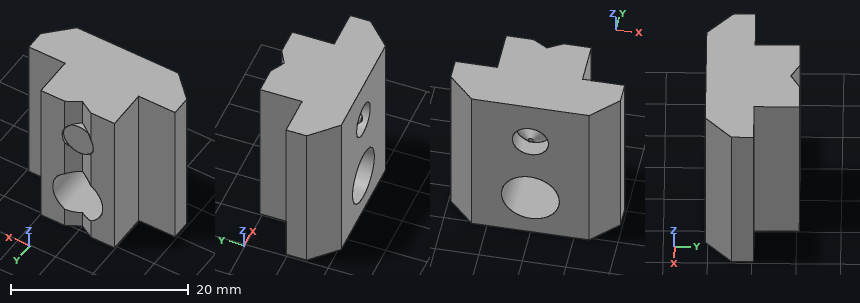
import cadquery as cq
import math

height = 20.0
flange_width = 19.5
flange_depth = 5.5
flange_chamfer = 3.0
tongue_width = 9.8
total_depth = 10.6

groove_depth = 1.0
groove_angle = 120.0

hole_diameter = 6.65
hole_z = 5.48
screw_diameter = 4.15
screw_z = 14.48

point_recess = 0.2
point_length = 1.8
point_flat_diameter = 0.55
screw_back_recess = 0.3


def body():
    """T-section with the two front edges chamfered and a V groove in the back."""
    half_flange = flange_width / 2
    half_tongue = tongue_width / 2
    half_groove = groove_depth * math.tan(math.radians(groove_angle / 2))
    right_half = [
        (half_flange - flange_chamfer, 0),
        (half_flange, flange_chamfer),
        (half_flange, flange_depth),
        (half_tongue, flange_depth),
        (half_tongue, total_depth),
        (half_groove, total_depth),
    ]
    left_half = [(-x, y) for x, y in reversed(right_half)]
    groove_bottom = (0, total_depth - groove_depth)
    outline = right_half + [groove_bottom] + left_half
    return cq.Workplane("XY").polyline(outline).close().extrude(height)


def through_hole(diameter, z):
    """Cutter along Y through the whole depth."""
    return (
        cq.Workplane("XZ", origin=(0, 0, z))
        .circle(diameter / 2)
        .extrude(-total_depth)
    )


def set_screw():
    """Screw along Y with its cone point toward the front face."""
    radius = screw_diameter / 2
    shoulder_y = point_recess + point_length
    back_y = total_depth - screw_back_recess
    half_profile = [
        (0, point_recess),
        (point_flat_diameter / 2, point_recess),
        (radius, shoulder_y),
        (radius, back_y),
        (0, back_y),
    ]
    return (
        cq.Workplane("XY", origin=(0, 0, screw_z))
        .polyline(half_profile)
        .close()
        .revolve(360, (0, 0, 0), (0, 1, 0))
    )


result = (
    body()
    .cut(through_hole(hole_diameter, hole_z))
    .cut(through_hole(screw_diameter, screw_z))
    .union(set_screw())
)